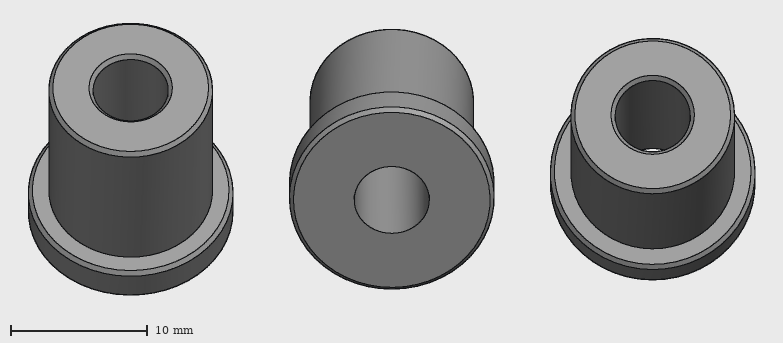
import cadquery as cq

FLANGE_DIAMETER = 15.0
FLANGE_THICKNESS = 3.0
BODY_DIAMETER = 12.0
TOTAL_HEIGHT = 16.0
BORE_DIAMETER = 5.5
EDGE_CHAMFER = 0.3


def make_flange():
    """Base flange with both outer rims chamfered."""
    disc = cq.Workplane("XY").circle(FLANGE_DIAMETER / 2).extrude(FLANGE_THICKNESS)
    return disc.edges("%CIRCLE").chamfer(EDGE_CHAMFER)


def make_body():
    """Cylindrical body running the full height, chamfered at its top rim."""
    cylinder = cq.Workplane("XY").circle(BODY_DIAMETER / 2).extrude(TOTAL_HEIGHT)
    return cylinder.faces(">Z").edges().chamfer(EDGE_CHAMFER)


def make_bore():
    """Through bore with a chamfered lead-in at the top end."""
    hole = cq.Workplane("XY").circle(BORE_DIAMETER / 2).extrude(TOTAL_HEIGHT)
    lead_in = cq.Workplane("XY").add(
        cq.Solid.makeCone(
            BORE_DIAMETER / 2,
            BORE_DIAMETER / 2 + EDGE_CHAMFER,
            EDGE_CHAMFER,
            pnt=cq.Vector(0, 0, TOTAL_HEIGHT - EDGE_CHAMFER),
        )
    )
    return hole.union(lead_in)


result = make_flange().union(make_body()).cut(make_bore())